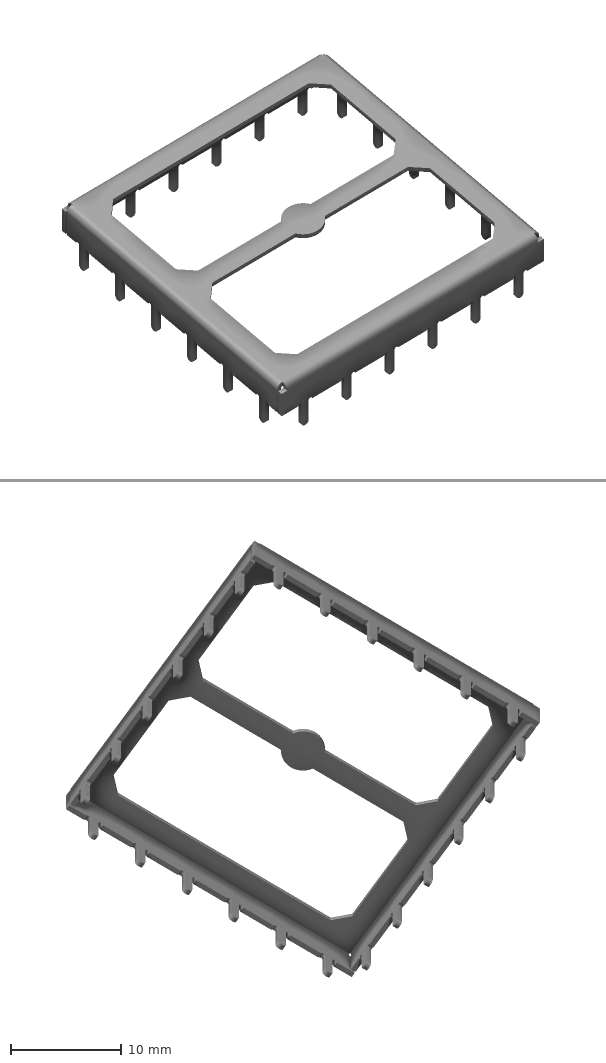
import cadquery as cq

side = 31.0
total_height = 6.4
sheet = 0.5
bend_radius = 0.65
wall_height = 3.5

rim_width = 2.5
bar_width = 2.0
window_chamfer = 1.43
hub_diameter = 4.0

pin_count = 6
pin_pitch = 5.08
pin_width = 0.8
relief_radius = 0.22

half_side = side / 2
flat_side = side - 2 * bend_radius
half_flat = flat_side / 2
pin_positions = [(i - (pin_count - 1) / 2) * pin_pitch for i in range(pin_count)]


def top_plate():
    """Flat plate with two chamfered windows, leaving a centre bar with a round hub."""
    window_length = side - 2 * rim_width
    window_width = (window_length - bar_width) / 2
    window_offset = (window_width + bar_width) / 2
    windows = (
        cq.Workplane("XY", origin=(0, 0, -sheet))
        .pushPoints([(-window_offset, 0), (window_offset, 0)])
        .rect(window_width, window_length)
        .extrude(sheet)
        .edges("|Z")
        .chamfer(window_chamfer)
    )
    plate = cq.Workplane("XY", origin=(0, 0, -sheet)).rect(flat_side, flat_side).extrude(sheet)
    hub = cq.Workplane("XY", origin=(0, 0, -sheet)).circle(hub_diameter / 2).extrude(sheet)
    return plate.cut(windows).union(hub)


def front_bend():
    """Quarter-round fold from the plate down to the wall on the -Y side."""
    axis_y = -half_flat
    inner_radius = bend_radius - sheet
    ring = (
        cq.Workplane("YZ", origin=(-half_flat, 0, 0))
        .center(axis_y, -bend_radius)
        .circle(bend_radius)
        .circle(inner_radius)
        .extrude(flat_side)
    )
    quadrant = (
        cq.Workplane("YZ", origin=(-half_flat, 0, 0))
        .center(axis_y - bend_radius / 2, -bend_radius / 2)
        .rect(bend_radius, bend_radius)
        .extrude(flat_side)
    )
    return ring.intersect(quadrant)


def pin(x_centre):
    """Straight pin with a full-round tip, below the -Y wall."""
    tip_radius = pin_width / 2
    return (
        cq.Workplane("XZ", origin=(x_centre, -half_side + sheet, 0))
        .moveTo(-tip_radius, -wall_height)
        .lineTo(-tip_radius, -total_height + tip_radius)
        .threePointArc((0, -total_height), (tip_radius, -total_height + tip_radius))
        .lineTo(tip_radius, -wall_height)
        .close()
        .extrude(sheet)
    )


def relief(x_centre):
    """Half-round notch in the lower edge of the -Y wall."""
    return (
        cq.Workplane("XZ", origin=(x_centre, -half_side + sheet, -wall_height))
        .circle(relief_radius)
        .extrude(sheet)
    )


def front_wall(wall_length):
    """Flat part of the -Y wall, with a relief on each side of every pin."""
    wall = (
        cq.Workplane("XZ", origin=(0, -half_side + sheet, -(bend_radius + wall_height) / 2))
        .rect(wall_length, wall_height - bend_radius)
        .extrude(sheet)
    )
    relief_offset = pin_width / 2 + relief_radius
    for x in pin_positions:
        wall = wall.cut(relief(x - relief_offset)).cut(relief(x + relief_offset))
    return wall


def pinned_flange(wall_length):
    """Bend, wall and row of pins on the -Y side."""
    flange = front_bend().union(front_wall(wall_length))
    for x in pin_positions:
        flange = flange.union(pin(x))
    return flange


result = top_plate()
for angle, wall_length in ((0, flat_side), (90, side), (180, flat_side), (270, side)):
    result = result.union(pinned_flange(wall_length).rotate((0, 0, 0), (0, 0, 1), angle))